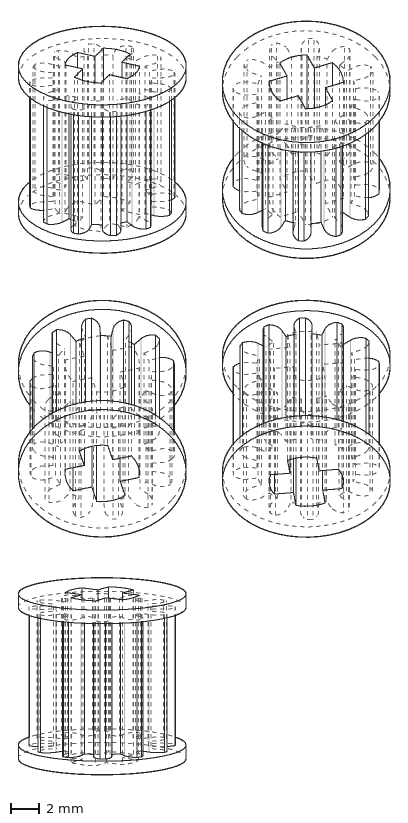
import cadquery as cq
import math

height = 12.0
flange_radius = 6.0
flange_thickness = 1.0
toothed_length = height - 2 * flange_thickness

tooth_count = 12
tooth_pitch = 360 / tooth_count
first_groove_angle = 45 - tooth_pitch / 2
tip_radius = 5.22
tip_half_width = 0.2

root_radius = 3.53
root_half_width = 0.38
wall_top_distance = 4.21
wall_top_half_width = 0.47

axle_radius = 2.65
axle_arm_width = 2.1
axle_angle = 41.0


def flange(bottom):
    return cq.Workplane("XY").workplane(offset=bottom).circle(flange_radius).extrude(flange_thickness)


def groove_cutter():
    """Round-lipped groove along +X, closed outside the tooth tips."""
    root_distance = math.sqrt(root_radius**2 - root_half_width**2)
    lip_angle = math.radians(tooth_pitch / 2) - math.asin(tip_half_width / tip_radius)
    lip_x = tip_radius * math.cos(lip_angle)
    lip_y = tip_radius * math.sin(lip_angle)
    wall_direction = (
        wall_top_distance - root_distance,
        wall_top_half_width - root_half_width,
    )
    lip = cq.Edge.makeTangentArc(
        cq.Vector(wall_top_distance, wall_top_half_width),
        cq.Vector(*wall_direction),
        cq.Vector(lip_x, lip_y),
    )
    lip_middle = lip.positionAt(0.5)
    return (
        cq.Workplane("XY")
        .workplane(offset=flange_thickness)
        .moveTo(root_distance, -root_half_width)
        .threePointArc((root_radius, 0), (root_distance, root_half_width))
        .lineTo(wall_top_distance, wall_top_half_width)
        .threePointArc((lip_middle.x, lip_middle.y), (lip_x, lip_y))
        .lineTo(flange_radius, lip_y)
        .lineTo(flange_radius, -lip_y)
        .lineTo(lip_x, -lip_y)
        .threePointArc((lip_middle.x, -lip_middle.y), (wall_top_distance, -wall_top_half_width))
        .close()
        .extrude(toothed_length)
    )


def toothed_barrel():
    barrel = cq.Workplane("XY").workplane(offset=flange_thickness).circle(tip_radius).extrude(toothed_length)
    cutter = groove_cutter()
    for index in range(tooth_count):
        angle = first_groove_angle + index * tooth_pitch
        barrel = barrel.cut(cutter.rotate((0, 0, 0), (0, 0, 1), angle))
    return barrel


def axle_hole():
    """Two crossed bars with their ends rounded by the axle circle."""
    bar_length = 2 * axle_radius + axle_arm_width
    bar = cq.Workplane("XY").rect(bar_length, axle_arm_width).extrude(height)
    crossing_bar = cq.Workplane("XY").rect(axle_arm_width, bar_length).extrude(height)
    axle_cylinder = cq.Workplane("XY").circle(axle_radius).extrude(height)
    cross = bar.union(crossing_bar).intersect(axle_cylinder)
    return cross.rotate((0, 0, 0), (0, 0, 1), axle_angle)


spool = toothed_barrel().union(flange(0)).union(flange(height - flange_thickness))
result = spool.cut(axle_hole()).translate((0, 0, -height / 2))